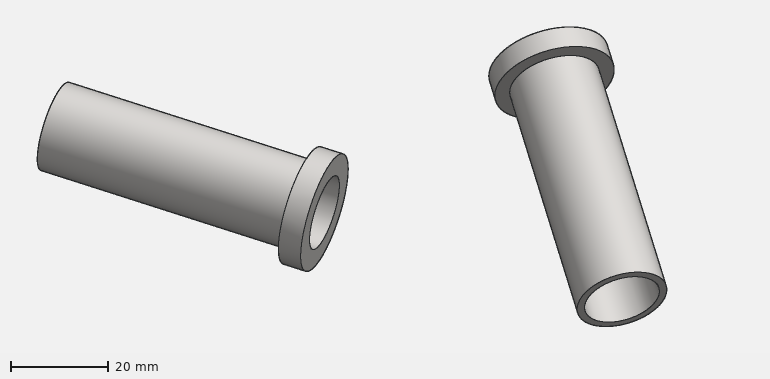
import cadquery as cq

length = 60.0
tube_diameter = 19.1
flange_diameter = 25.4
flange_thickness = 5.0
bore_diameter = 15.9

tube_end_x = -length / 2
flange_face_x = length / 2 - flange_thickness


def cylinder_along_x(start_x, diameter, depth):
    """Solid cylinder on the X axis, extending toward +X from start_x."""
    return cq.Workplane("YZ", origin=(start_x, 0, 0)).circle(diameter / 2).extrude(depth)


tube = cylinder_along_x(tube_end_x, tube_diameter, length)
flange = cylinder_along_x(flange_face_x, flange_diameter, flange_thickness)
bore = cylinder_along_x(tube_end_x, bore_diameter, length)

result = tube.union(flange).cut(bore)